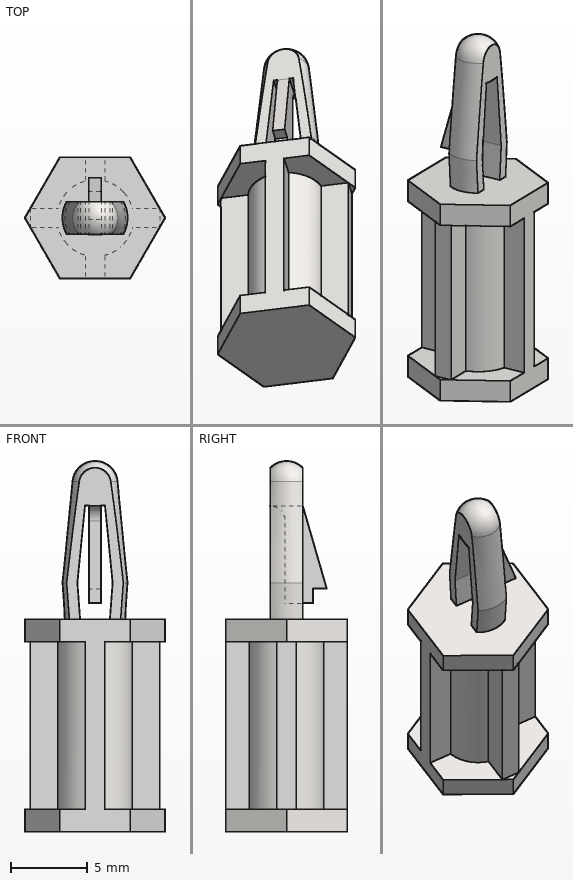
import cadquery as cq
import math

HEX_ACROSS_FLATS = 8.0
HEX_ACROSS_CORNERS = HEX_ACROSS_FLATS / math.cos(math.pi / 6)
PLATE_THICKNESS = 1.5
BODY_HEIGHT = 14.0
COLUMN_DIAMETER = 5.05
RIB_THICKNESS = 1.25
RIB_SPAN_X = 8.54
RIB_SPAN_Y = HEX_ACROSS_FLATS

TOTAL_HEIGHT = 24.4
DOME_RADIUS = 1.5
DOME_CENTRE_Z = TOTAL_HEIGHT - DOME_RADIUS
BULGE_RADIUS = 2.15
BULGE_Z = 16.4
PIN_ROOT_RADIUS = 2.0
PIN_THICKNESS = 2.15

SLOT_TOP_Z = 21.45
SLOT_TOP_WIDTH = 1.3
SLOT_BULGE_WIDTH = 2.3
SLOT_ROOT_WIDTH = 1.95

LATCH_WIDTH = 0.8
LATCH_FRONT_Y = -0.1
LATCH_BACK_Y = 1.75
LATCH_TIP_Y = 2.65
LATCH_TIP_Z = 16.0
LATCH_BOTTOM_Z = 15.05
LATCH_ROOT_RADIUS = 1.0


def make_body():
    """Two hexagonal plates joined by a round column with four ribs."""
    plate = cq.Workplane("XY").polygon(6, HEX_ACROSS_CORNERS).extrude(PLATE_THICKNESS)
    top_plate = plate.translate((0, 0, BODY_HEIGHT - PLATE_THICKNESS))
    column = cq.Workplane("XY").circle(COLUMN_DIAMETER / 2).extrude(BODY_HEIGHT)
    body = plate.union(top_plate).union(column)
    for size_x, size_y in ((RIB_SPAN_X, RIB_THICKNESS), (RIB_THICKNESS, RIB_SPAN_Y)):
        rib = cq.Workplane("XY").rect(size_x, size_y).extrude(BODY_HEIGHT - 2 * PLATE_THICKNESS)
        body = body.union(rib.translate((0, 0, PLATE_THICKNESS)))
    return body


def make_pin():
    """Revolved pin whose cone runs tangent into the dome, cut to two flats."""
    rise = DOME_CENTRE_Z - BULGE_Z
    distance = math.hypot(BULGE_RADIUS, rise)
    tangent_angle = math.acos(DOME_RADIUS / distance) - math.atan2(rise, BULGE_RADIUS)
    middle_angle = (tangent_angle + math.pi / 2) / 2

    def dome_point(angle):
        return (DOME_RADIUS * math.cos(angle), DOME_CENTRE_Z + DOME_RADIUS * math.sin(angle))

    profile = (
        cq.Workplane("XZ")
        .moveTo(0, BODY_HEIGHT)
        .lineTo(PIN_ROOT_RADIUS, BODY_HEIGHT)
        .lineTo(BULGE_RADIUS, BULGE_Z)
        .lineTo(*dome_point(tangent_angle))
        .threePointArc(dome_point(middle_angle), (0, TOTAL_HEIGHT))
        .close()
    )
    pin = profile.revolve(360, (0, 0, 0), (0, 1, 0))
    flats = cq.Workplane("XY").box(2 * BULGE_RADIUS, PIN_THICKNESS, 2 * TOTAL_HEIGHT)
    return pin.intersect(flats)


def make_slot():
    """Through slot along Y that follows the taper of the legs."""
    right_side = [
        (SLOT_ROOT_WIDTH / 2, BODY_HEIGHT),
        (SLOT_BULGE_WIDTH / 2, BULGE_Z),
        (SLOT_TOP_WIDTH / 2, SLOT_TOP_Z),
    ]
    left_side = [(-x, z) for x, z in reversed(right_side)]
    outline = cq.Workplane("XZ").polyline(right_side + left_side).close()
    return outline.extrude(PIN_THICKNESS / 2, both=True)


def make_latch():
    """Wedge-shaped tongue with a stepped end and a rounded root at the slot roof."""
    root_front_y = LATCH_FRONT_Y - LATCH_ROOT_RADIUS
    root_bottom_z = SLOT_TOP_Z - LATCH_ROOT_RADIUS
    arc_offset = LATCH_ROOT_RADIUS * math.sqrt(0.5)
    arc_middle = (root_front_y + arc_offset, root_bottom_z + arc_offset)
    outline = (
        cq.Workplane("YZ")
        .moveTo(root_front_y, SLOT_TOP_Z)
        .threePointArc(arc_middle, (LATCH_FRONT_Y, root_bottom_z))
        .lineTo(LATCH_FRONT_Y, LATCH_BOTTOM_Z)
        .lineTo(LATCH_BACK_Y, LATCH_BOTTOM_Z)
        .lineTo(LATCH_BACK_Y, LATCH_TIP_Z)
        .lineTo(LATCH_TIP_Y, LATCH_TIP_Z)
        .lineTo(PIN_THICKNESS / 2, SLOT_TOP_Z)
        .close()
    )
    return outline.extrude(LATCH_WIDTH / 2, both=True)


split_pin = make_pin().cut(make_slot()).union(make_latch())
result = make_body().union(split_pin)